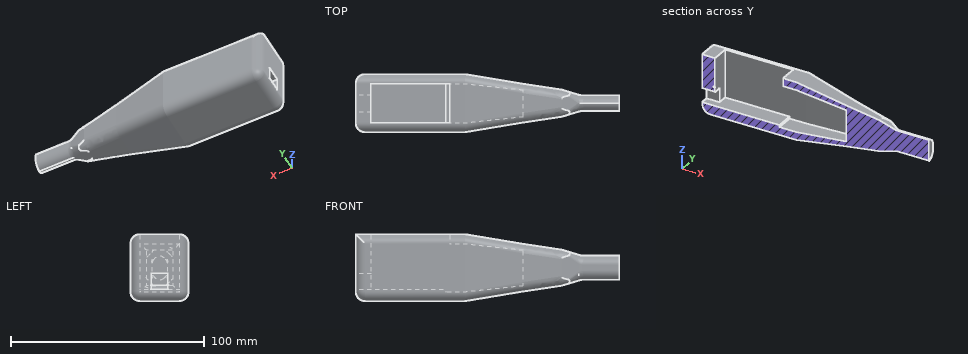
import cadquery as cq
import math

ROUNDING = 5.0
BLOCK_LENGTH = 56.72
LONG_TAPER_LENGTH = 30.0
SHORT_TAPER_LENGTH = 20.0
TIP_LENGTH = 10.0
CABLE_LENGTH = 20.0
BLOCK_HALF_Y = 15.11
BLOCK_HALF_Z = 17.41
LONG_TAPER_INSET = 5.0
SHORT_TAPER_INSET = 3.0
TIP_INSET = 3.0
TIP_START_ROUNDING = 1.2
NECK_BLEND = 5.0

WALL = 5.0
OPENING_START = 7.9
OPENING_END = 48.8
TRAY_END = 46.72
TRAY_FLOOR_Z = -11.2
CAVITY_TAPER_INSET = 3.2
WINDOW_WIDTH = 8.8
WINDOW_HEIGHT = 8.2

long_taper_end = BLOCK_LENGTH + LONG_TAPER_LENGTH
short_taper_end = long_taper_end + SHORT_TAPER_LENGTH
tip_end = short_taper_end + TIP_LENGTH

inset_short_taper = LONG_TAPER_INSET + SHORT_TAPER_INSET
inset_tip = inset_short_taper + TIP_INSET
short_taper_slope = SHORT_TAPER_INSET / SHORT_TAPER_LENGTH


def outline(inset, rounding=0.0):
    """Rectangle inset from the block's outline, with optional rounded corners."""
    sketch = cq.Sketch().rect(2 * (BLOCK_HALF_Y - inset), 2 * (BLOCK_HALF_Z - inset))
    if rounding:
        sketch = sketch.vertices().fillet(rounding)
    return sketch


def frustum(x_start, inset_start, x_end, inset_end, rounding=0.0):
    """Straight-sided taper between two inset cross-sections."""
    start = outline(inset_start, rounding)
    end = outline(inset_end, rounding).moved(cq.Location(cq.Vector(0, 0, x_end - x_start)))
    return cq.Workplane("YZ", origin=(x_start, 0, 0)).placeSketch(start, end).loft(ruled=True)


def span_box(x_start, x_end, half_y, z_bottom, z_top):
    """Box symmetric about Y = 0."""
    return (
        cq.Workplane("XY", origin=(x_start, 0, z_bottom))
        .rect(x_end - x_start, 2 * half_y)
        .extrude(z_top - z_bottom)
        .translate(((x_end - x_start) / 2, 0, 0))
    )


def block():
    """Main block: long edges, upright end edges and lower end edge rounded, upper end edge sharp."""
    bar = cq.Workplane("YZ").placeSketch(outline(0, ROUNDING)).extrude(BLOCK_LENGTH)
    rounded_end = (
        span_box(0, BLOCK_LENGTH, BLOCK_HALF_Y, -BLOCK_HALF_Z, BLOCK_HALF_Z)
        .edges("(<X and |Z) or (<Z and (not >X))")
        .fillet(ROUNDING)
    )
    return bar.intersect(rounded_end)


def one_sided_section(x, inset, rounding):
    """Cross-section rounded on its +Y corners only, reaching flat past the -Y side of the tip."""
    half_y = BLOCK_HALF_Y - inset
    half_z = BLOCK_HALF_Z - inset
    diagonal = rounding * (1 - math.sqrt(0.5))
    return (
        cq.Workplane("YZ", origin=(x, 0, 0))
        .moveTo(-BLOCK_HALF_Y, -half_z)
        .lineTo(half_y - rounding, -half_z)
        .threePointArc((half_y - diagonal, -half_z + diagonal), (half_y, -half_z + rounding))
        .lineTo(half_y, half_z - rounding)
        .threePointArc((half_y - diagonal, half_z - diagonal), (half_y - rounding, half_z))
        .lineTo(-BLOCK_HALF_Y, half_z)
        .close()
    )


def tip_and_cable():
    """Steep tip and cable; the two sides' roundings overlap and meet in a ridge at Y = 0."""
    start = one_sided_section(short_taper_end, inset_short_taper, TIP_START_ROUNDING)
    end = one_sided_section(tip_end, inset_tip, ROUNDING)
    cone = cq.Workplane(cq.Solid.makeLoft([start.val(), end.val()], True))
    cable = end.extrude(CABLE_LENGTH)
    neck_margin = 0.1
    neck = cq.selectors.BoxSelector(
        (tip_end - neck_margin, neck_margin - BLOCK_HALF_Y, -BLOCK_HALF_Z),
        (tip_end + neck_margin, BLOCK_HALF_Y, BLOCK_HALF_Z),
    )
    side = cone.union(cable).edges(neck).fillet(NECK_BLEND)
    positive_y = cq.Workplane("XY").box(
        tip_end + CABLE_LENGTH, BLOCK_HALF_Y, 2 * BLOCK_HALF_Z, centered=(False, False, True)
    )
    half = side.intersect(positive_y)
    return half.union(half.mirror("XZ"))


def body():
    """Block, long taper, and the short taper whose rounded edges run on until the steep tip cuts them."""
    long_taper = frustum(BLOCK_LENGTH, 0, long_taper_end, LONG_TAPER_INSET, ROUNDING)
    run_on_inset = inset_short_taper + short_taper_slope * TIP_LENGTH
    short_taper_run = frustum(long_taper_end, LONG_TAPER_INSET, tip_end, run_on_inset, ROUNDING)
    cable_space = span_box(tip_end, tip_end + CABLE_LENGTH, BLOCK_HALF_Y, -BLOCK_HALF_Z, BLOCK_HALF_Z)
    short_taper_space = span_box(long_taper_end, short_taper_end, BLOCK_HALF_Y, -BLOCK_HALF_Z, BLOCK_HALF_Z)
    tip_envelope = tip_and_cable().union(short_taper_space)
    front_end = short_taper_run.union(cable_space).intersect(tip_envelope)
    return block().union(long_taper).union(front_end)


def interior():
    """Open tray, the closed cavity behind it and the window in the blunt end."""
    half_y = BLOCK_HALF_Y - WALL
    half_z = BLOCK_HALF_Z - WALL
    opening = span_box(OPENING_START, OPENING_END, half_y, TRAY_FLOOR_Z, BLOCK_HALF_Z)
    cavity = span_box(TRAY_END, BLOCK_LENGTH, half_y, -half_z, half_z)
    cavity_taper = frustum(BLOCK_LENGTH, WALL, long_taper_end, WALL + CAVITY_TAPER_INSET)
    window = span_box(0, OPENING_START, WINDOW_WIDTH / 2, TRAY_FLOOR_Z, TRAY_FLOOR_Z + WINDOW_HEIGHT)
    return opening.union(cavity).union(cavity_taper).union(window)


result = body().cut(interior())